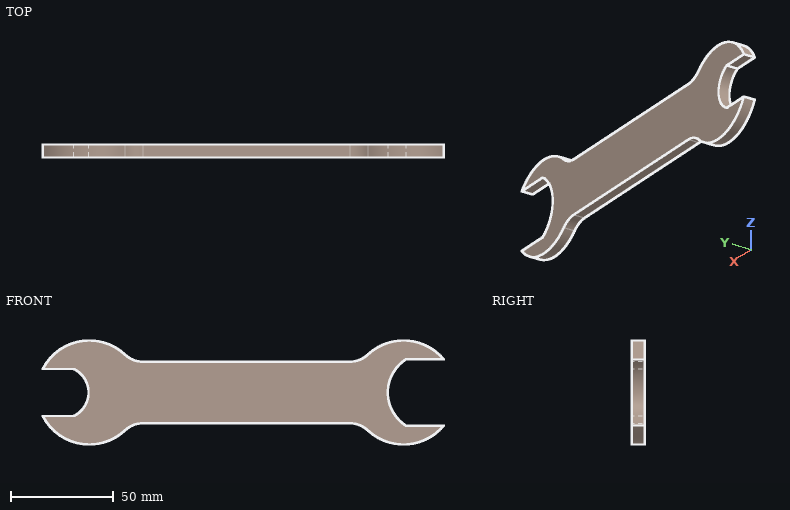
import cadquery as cq
import math

overall_length = 194.9
thickness = 6.5
head_radius = 25.3

handle_width = 30.0
neck_fillet_radius = 12.7

left_mouth_width = 22.8
left_seat_radius = 12.7
left_seat_gap = 0.4

right_mouth_width = 32.2
right_seat_radius = 19.0
right_seat_overrun = 7.6


def jaw_reach(mouth_width):
    """Distance along X from a head centre to its jaw tips."""
    return math.sqrt(head_radius**2 - (mouth_width / 2) ** 2)


left_head_x = -overall_length / 2 + jaw_reach(left_mouth_width)
right_head_x = overall_length / 2 - jaw_reach(right_mouth_width)


def plate():
    """XZ workplane whose extrusion is centred on Y = 0."""
    return cq.Workplane("XZ", origin=(0, thickness / 2, 0))


def head(x):
    return plate().center(x, 0).circle(head_radius).extrude(thickness)


def handle():
    length = right_head_x - left_head_x
    middle = (left_head_x + right_head_x) / 2
    return plate().center(middle, 0).rect(length, handle_width).extrude(thickness)


def blank():
    """Two round heads joined by the handle, with the four inside corners rounded."""
    body = head(left_head_x).union(head(right_head_x)).union(handle())
    corner_offset = math.sqrt(head_radius**2 - (handle_width / 2) ** 2)
    for corner_x in (left_head_x + corner_offset, right_head_x - corner_offset):
        for corner_z in (-handle_width / 2, handle_width / 2):
            corner = cq.selectors.NearestToPointSelector((corner_x, 0, corner_z))
            body = body.edges("|Y").edges(corner).fillet(neck_fillet_radius)
    return body


def jaw_opening(seat_bottom_x, direction, seat_radius, mouth_width):
    """Cutter for a mouth that opens along X in the given direction (-1 or +1)."""
    seat_x = seat_bottom_x + direction * seat_radius
    corner_x = seat_x - direction * math.sqrt(seat_radius**2 - (mouth_width / 2) ** 2)
    open_x = direction * overall_length
    half_width = mouth_width / 2
    return (
        plate()
        .moveTo(open_x, -half_width)
        .lineTo(corner_x, -half_width)
        .threePointArc((seat_bottom_x, 0), (corner_x, half_width))
        .lineTo(open_x, half_width)
        .close()
        .extrude(thickness)
    )


left_opening = jaw_opening(left_head_x - left_seat_gap, -1, left_seat_radius, left_mouth_width)
right_opening = jaw_opening(right_head_x - right_seat_overrun, 1, right_seat_radius, right_mouth_width)
result = blank().cut(left_opening).cut(right_opening)